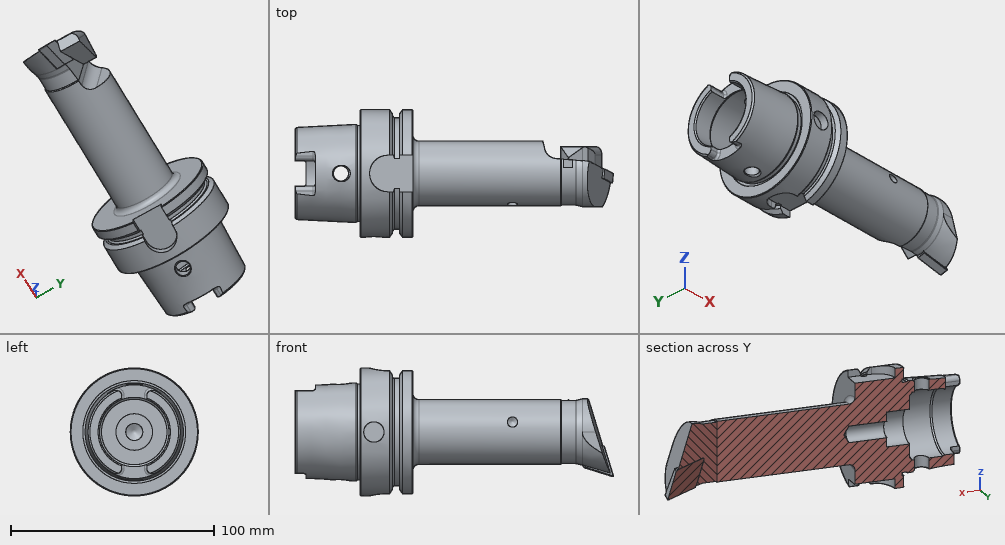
import cadquery as cq
import math


OVERALL_LENGTH = 156.69
TAPER_LENGTH = 32.0
TAPER_GAUGE_X = -6.3
TAPER_GAUGE_RADIUS = 24.0
TAPER_SLOPE = 0.05
TAPER_END_CHAMFER = 0.9
RELIEF_WIDTH = 2.1
RELIEF_FLOOR_WIDTH = 1.2
RELIEF_RADIUS = 23.7
FACE_GROOVE_RADIUS = 25.3
FACE_GROOVE_DEPTH = 0.8
FLANGE_RADIUS = 31.5
FLANGE_WIDTH = 26.0
EDGE_CHAMFER = 0.4

GROOVE_RADIUS = 27.5
GROOVE_START_X = 16.0
GROOVE_END_X = 19.3
GROOVE_WALL_RADIUS = 29.3
GROOVE_LEFT_BEVEL = 1.5
GROOVE_RIGHT_BEVEL = 1.65
GROOVE_FOOT_BEVEL = 0.9

KEYWAY_START_X = 4.7
KEYWAY_FLOOR = 26.5
TOP_KEYWAY_WIDTH = 18.0
BOTTOM_KEYWAY_WIDTH = 16.0

TOP_SLOT_DEPTH = 10.0
BOTTOM_SLOT_DEPTH = 5.4
SLOT_WIDTH = 12.5
SLOT_BASE_HEIGHT = 10.0
SLOT_SHOULDER_HEIGHT = 20.4
SLOT_SHOULDER_ROUND = 2.3
SLOT_SHOULDER_REACH = 14.0
SLOT_CUT_TOP = 26.0
SLOT_END_FILLET = 1.2

BORE_RADIUS = 17.1
BORE_CHAMFER = 0.7
BORE_MOUTH_LENGTH = 10.5
UNDERCUT_RADIUS = 17.6
UNDERCUT_ANGLE = math.radians(30)
BORE_FLOOR_X = -3.0
BORE_FLOOR_CHAMFER = 1.5
TUBE_BORE_RADIUS = 9.0
TUBE_BORE_DEPTH = 12.0
COOLANT_RADIUS = 4.2
COOLANT_DEPTH = 20.0
DRILL_TIP_ANGLE = math.radians(59)
CROSS_HOLE_X = -9.4
CROSS_HOLE_RADIUS = 3.7
CROSS_HOLE_RIM_RADIUS = 4.4
SINK_CLEARANCE = 0.4
CHIP_HOLE_X = 6.8
CHIP_HOLE_RADIUS = 5.0
CHIP_HOLE_DEPTH = 4.6
BAR_HOLE_X = 75.0
BAR_HOLE_Z = 4.9
BAR_HOLE_RADIUS = 2.5
BAR_HOLE_DEPTH = 5.0

BAR_RADIUS = 16.0
NECK_FILLET = 2.9
TIP_X = OVERALL_LENGTH - TAPER_LENGTH
TIP_Z = -22.0
HEAD_LENGTH = 26.0
HEAD_X = TIP_X - HEAD_LENGTH
COLLAR_RADIUS = 15.6
RIM_BEVEL_LENGTH = 0.5
COLLAR_LENGTH = 7.4
FLARE_RUN_IN = 0.5
FLARE_RUN_IN_RISE = 0.1
HEAD_RADIUS = 16.4
FLARE_LENGTH = 3.3
APPROACH_ANGLE = math.radians(17.5)
INSERT_OVERHANG = 0.7
END_FACE_RELIEF_DEGREES = 1.5

RAKE_FALL_X = 0.09
RAKE_RISE_Z = 0.137
CHIP_POCKET_X = 91.6
CHIP_POCKET_RADIUS = 6.0
CHIP_POCKET_LEAN = math.radians(15)

BLOCK_SPAN = 80.0
BLOCK_HEIGHT = 30.0

INSERT_ANGLE = math.radians(55)
INSERT_TURN_DEGREES = 45
INSERT_INSCRIBED_DIAMETER = 12.7
INSERT_THICKNESS = 4.76
NOSE_RADIUS = 0.4

CLAMP_TOP_Y = 13.2
CLAMP_ROUND = 4.0
CLAMP_HEEL = (HEAD_X, 7.9)
CLAMP_PEAK = (102.5, 15.9)
CLAMP_OUTLINE = [
    CLAMP_HEEL,
    CLAMP_PEAK,
    (109.4, 12.7),
    (112.2, 11.5),
    (115.6, 6.0),
    (119.0, -5.5),
    (115.0, -11.0),
    (HEAD_X, 5.0),
]
CLAMP_PEAK_Y = 7.8
CLAMP_BEVEL_RISE = 0.39

NOTCH_OFFSET = 1.3
NOTCH_LENGTH = 4.6
NOTCH_DEPTH = 2.0
NOTCH_FLOOR_Y = 3.0


def revolve_about_x(profile):
    return profile.close().revolve(360, (0, 0, 0), (1, 0, 0))


def taper_radius(x):
    return TAPER_GAUGE_RADIUS + TAPER_SLOPE * (x - TAPER_GAUGE_X)


def rake_plane():
    """Plane of the insert face, centred on the insert nose."""
    origin = (TIP_X - NOSE_RADIUS, 0, TIP_Z + NOSE_RADIUS)
    return cq.Plane(origin=origin, xDir=(1, -RAKE_FALL_X, 0), normal=(RAKE_FALL_X, 1, -RAKE_RISE_Z))


def above_rake_plane(start_x):
    """Block standing on the rake plane, with a round foot on its -X edge."""
    foot_x = start_x - TIP_X
    top_x = foot_x - BLOCK_HEIGHT * math.tan(CHIP_POCKET_LEAN)
    profile = [(foot_x, 0), (BLOCK_SPAN, 0), (BLOCK_SPAN, BLOCK_HEIGHT), (top_x, BLOCK_HEIGHT)]
    block = cq.Workplane("XZ").polyline(profile).close().extrude(BLOCK_SPAN / 2, both=True)
    block = block.faces("<Z").edges("<X").fillet(CHIP_POCKET_RADIUS)
    return cq.Workplane(obj=block.val().moved(cq.Location(rake_plane())))


def turned_blank():
    end_x = -TAPER_LENGTH
    groove_left = GROOVE_START_X - GROOVE_LEFT_BEVEL
    groove_right = GROOVE_END_X + GROOVE_RIGHT_BEVEL
    diagonal = NECK_FILLET * (1 - math.sqrt(0.5))
    profile = (
        cq.Workplane("XY")
        .moveTo(end_x, 0)
        .lineTo(end_x, taper_radius(end_x) - TAPER_END_CHAMFER)
        .lineTo(end_x + TAPER_END_CHAMFER, taper_radius(end_x))
        .lineTo(-RELIEF_WIDTH, taper_radius(-RELIEF_WIDTH))
        .lineTo(-RELIEF_FLOOR_WIDTH, RELIEF_RADIUS)
        .lineTo(FACE_GROOVE_DEPTH, RELIEF_RADIUS)
        .lineTo(FACE_GROOVE_DEPTH, FACE_GROOVE_RADIUS)
        .lineTo(0, FACE_GROOVE_RADIUS)
        .lineTo(0, FLANGE_RADIUS - EDGE_CHAMFER)
        .lineTo(EDGE_CHAMFER, FLANGE_RADIUS)
        .lineTo(groove_left, FLANGE_RADIUS)
        .lineTo(GROOVE_START_X, GROOVE_WALL_RADIUS)
        .lineTo(GROOVE_START_X, GROOVE_RADIUS + GROOVE_FOOT_BEVEL)
        .lineTo(GROOVE_START_X + GROOVE_FOOT_BEVEL, GROOVE_RADIUS)
        .lineTo(GROOVE_END_X, GROOVE_RADIUS)
        .lineTo(GROOVE_END_X, GROOVE_WALL_RADIUS)
        .lineTo(groove_right, FLANGE_RADIUS)
        .lineTo(FLANGE_WIDTH - EDGE_CHAMFER, FLANGE_RADIUS)
        .lineTo(FLANGE_WIDTH, FLANGE_RADIUS - EDGE_CHAMFER)
        .lineTo(FLANGE_WIDTH, BAR_RADIUS + NECK_FILLET)
        .threePointArc(
            (FLANGE_WIDTH + diagonal, BAR_RADIUS + diagonal),
            (FLANGE_WIDTH + NECK_FILLET, BAR_RADIUS),
        )
        .lineTo(HEAD_X, BAR_RADIUS)
        .lineTo(HEAD_X, 0)
    )
    return revolve_about_x(profile)


def stepped_bore():
    end_x = -TAPER_LENGTH
    undercut_x = end_x + BORE_MOUTH_LENGTH
    undercut_step = UNDERCUT_RADIUS - BORE_RADIUS
    tube_floor = BORE_FLOOR_X + TUBE_BORE_DEPTH
    coolant_floor = tube_floor + COOLANT_DEPTH
    profile = (
        cq.Workplane("XY")
        .moveTo(end_x, 0)
        .lineTo(end_x, BORE_RADIUS + BORE_CHAMFER)
        .lineTo(end_x + BORE_CHAMFER, BORE_RADIUS)
        .lineTo(undercut_x, BORE_RADIUS)
        .lineTo(undercut_x + undercut_step / math.tan(UNDERCUT_ANGLE), UNDERCUT_RADIUS)
        .lineTo(BORE_FLOOR_X - BORE_FLOOR_CHAMFER, UNDERCUT_RADIUS)
        .lineTo(BORE_FLOOR_X, UNDERCUT_RADIUS - BORE_FLOOR_CHAMFER)
        .lineTo(BORE_FLOOR_X, TUBE_BORE_RADIUS)
        .lineTo(tube_floor, TUBE_BORE_RADIUS)
        .lineTo(tube_floor, COOLANT_RADIUS)
        .lineTo(coolant_floor, COOLANT_RADIUS)
        .lineTo(coolant_floor + COOLANT_RADIUS / math.tan(DRILL_TIP_ANGLE), 0)
    )
    return revolve_about_x(profile)


def keyway(width, side):
    """Round-ended flat-floored keyway, open at the back of the flange; side is +1 up, -1 down."""
    radius = width / 2
    centre_x = KEYWAY_START_X + radius
    depth = FLANGE_RADIUS - KEYWAY_FLOOR
    floor = cq.Workplane("XY").workplane(offset=side * KEYWAY_FLOOR)
    round_end = floor.center(centre_x, 0).circle(radius).extrude(side * depth)
    run = FLANGE_WIDTH - centre_x
    straight = floor.center(centre_x + run / 2, 0).rect(run, width).extrude(side * depth)
    return round_end.union(straight)


def drive_slot(depth, side):
    """Slot across the taper wall; above it, rounded shoulders run flat out to the taper surface."""
    half = SLOT_WIDTH / 2
    shoulder = half + SLOT_SHOULDER_ROUND
    round_foot = SLOT_SHOULDER_HEIGHT - SLOT_SHOULDER_ROUND
    bulge = SLOT_SHOULDER_ROUND * (1 - math.sqrt(0.5))
    slot = (
        cq.Workplane("YZ", origin=(-TAPER_LENGTH, 0, 0))
        .moveTo(-half, SLOT_BASE_HEIGHT)
        .lineTo(half, SLOT_BASE_HEIGHT)
        .lineTo(half, round_foot)
        .threePointArc((half + bulge, SLOT_SHOULDER_HEIGHT - bulge), (shoulder, SLOT_SHOULDER_HEIGHT))
        .lineTo(SLOT_SHOULDER_REACH, SLOT_SHOULDER_HEIGHT)
        .lineTo(SLOT_SHOULDER_REACH, SLOT_CUT_TOP)
        .lineTo(-SLOT_SHOULDER_REACH, SLOT_CUT_TOP)
        .lineTo(-SLOT_SHOULDER_REACH, SLOT_SHOULDER_HEIGHT)
        .lineTo(-shoulder, SLOT_SHOULDER_HEIGHT)
        .threePointArc((-half - bulge, SLOT_SHOULDER_HEIGHT - bulge), (-half, round_foot))
        .close()
        .extrude(depth)
    )
    slot = slot.faces(">X").edges("not(<Z or >Z)").fillet(SLOT_END_FILLET)
    return slot if side > 0 else slot.mirror("XY")


def cross_hole():
    """Hole right through along Z, countersunk where it meets the taper."""
    rim_z = taper_radius(CROSS_HOLE_X)
    sink_z = rim_z - (CROSS_HOLE_RIM_RADIUS - CROSS_HOLE_RADIUS)
    sink_length = rim_z + SINK_CLEARANCE - sink_z
    cutter = cq.Workplane("XY").circle(CROSS_HOLE_RADIUS).extrude(FLANGE_RADIUS, both=True)
    for side in (1, -1):
        direction = cq.Vector(0, 0, side)
        sink = cq.Solid.makeCone(
            CROSS_HOLE_RADIUS, CROSS_HOLE_RADIUS + sink_length, sink_length, direction * sink_z, direction
        )
        cutter = cutter.union(cq.Workplane(obj=sink))
    return cutter.translate((CROSS_HOLE_X, 0, 0))


def bar_hole():
    """Blind drilled hole in the -Y side of the bar."""
    tip = BAR_HOLE_RADIUS / math.tan(DRILL_TIP_ANGLE)
    profile = (
        cq.Workplane("XY")
        .polyline([
            (0, -BAR_RADIUS),
            (BAR_HOLE_RADIUS, -BAR_RADIUS),
            (BAR_HOLE_RADIUS, BAR_HOLE_DEPTH - BAR_RADIUS),
            (0, BAR_HOLE_DEPTH + tip - BAR_RADIUS),
        ])
        .close()
    )
    return profile.revolve(360, (0, 0, 0), (0, 1, 0)).translate((BAR_HOLE_X, 0, BAR_HOLE_Z))


def make_holder():
    holder = turned_blank()
    holder = holder.cut(drive_slot(TOP_SLOT_DEPTH, 1)).cut(drive_slot(BOTTOM_SLOT_DEPTH, -1))
    holder = holder.cut(stepped_bore()).cut(cross_hole())
    holder = holder.cut(keyway(TOP_KEYWAY_WIDTH, 1)).cut(keyway(BOTTOM_KEYWAY_WIDTH, -1))
    chip_hole = cq.Workplane("XZ", origin=(CHIP_HOLE_X, CHIP_HOLE_DEPTH - FLANGE_RADIUS, 0))
    holder = holder.cut(chip_hole.circle(CHIP_HOLE_RADIUS).extrude(CHIP_HOLE_DEPTH))
    return holder.cut(bar_hole()).cut(above_rake_plane(CHIP_POCKET_X))


def make_insert():
    """Rhombic insert with rounded acute corners, its face lying in the rake plane."""
    half_long = INSERT_INSCRIBED_DIAMETER / 2 / math.sin(INSERT_ANGLE / 2)
    half_short = INSERT_INSCRIBED_DIAMETER / 2 / math.cos(INSERT_ANGLE / 2)
    nose_offset = half_long - NOSE_RADIUS / math.sin(INSERT_ANGLE / 2)
    corners = [(half_long, 0), (0, half_short), (-half_long, 0), (0, -half_short)]
    insert = cq.Workplane("XY").polyline(corners).close().extrude(-INSERT_THICKNESS)
    insert = insert.edges("|Z and (<X or >X)").fillet(NOSE_RADIUS)
    insert = insert.translate((-nose_offset, 0, 0)).rotate((0, 0, 0), (0, 0, 1), INSERT_TURN_DEGREES)
    return cq.Workplane(obj=insert.val().moved(cq.Location(rake_plane())))


def make_head(insert):
    flare_start = HEAD_X + COLLAR_LENGTH
    cone_start = flare_start + FLARE_LENGTH
    cone_end_radius = HEAD_RADIUS + (TIP_X - cone_start) * math.tan(APPROACH_ANGLE)
    profile = cq.Workplane("XY").polyline([
        (HEAD_X, 0),
        (HEAD_X, BAR_RADIUS),
        (HEAD_X + RIM_BEVEL_LENGTH, COLLAR_RADIUS),
        (flare_start, COLLAR_RADIUS),
        (flare_start + FLARE_RUN_IN, COLLAR_RADIUS + FLARE_RUN_IN_RISE),
        (cone_start, HEAD_RADIUS),
        (TIP_X, cone_end_radius),
        (TIP_X, 0),
    ])
    head = revolve_about_x(profile)

    envelope = (
        cq.Workplane("YZ", origin=(HEAD_X, 0, 0))
        .moveTo(-HEAD_RADIUS, 0)
        .threePointArc((0, HEAD_RADIUS), (HEAD_RADIUS, 0))
        .lineTo(HEAD_RADIUS, -cone_end_radius)
        .lineTo(-HEAD_RADIUS, -cone_end_radius)
        .close()
        .extrude(HEAD_LENGTH)
    )
    head = head.intersect(envelope)
    head = head.cut(beyond_end_face()).cut(above_rake_plane(CHIP_POCKET_X)).cut(insert)
    return head.cut(clamp_notch())


def beyond_end_face():
    """Block beyond the sloping end face, which falls back a little below the rake plane."""
    block = cq.Workplane("XY").box(BLOCK_SPAN, BLOCK_SPAN, BLOCK_SPAN, centered=(False, True, True))
    block = block.rotate((0, 0, 0), (0, 1, 0), END_FACE_RELIEF_DEGREES)
    block = block.translate((NOSE_RADIUS - INSERT_OVERHANG, 0, 0))
    block = block.rotate((0, 0, 0), (0, 0, 1), -math.degrees(APPROACH_ANGLE))
    return cq.Workplane(obj=block.val().moved(cq.Location(rake_plane())))


def clamp_notch():
    """Notch cut down into the collar beside the clamp."""
    start = (HEAD_X + NOTCH_OFFSET, NOTCH_FLOOR_Y, COLLAR_RADIUS - NOTCH_DEPTH)
    block = cq.Workplane("XY").box(NOTCH_LENGTH, COLLAR_RADIUS, COLLAR_RADIUS, centered=False)
    return block.translate(start)


def make_clamp():
    outline = cq.Workplane("XZ").polyline(CLAMP_OUTLINE).close()
    clamp = outline.extrude(-CLAMP_TOP_Y)
    clamp = clamp.faces(">X").edges(">Y").fillet(CLAMP_ROUND)
    clamp = clamp.intersect(above_rake_plane(CHIP_POCKET_X))
    return clamp.cut(beyond_clamp_bevel())


def beyond_clamp_bevel():
    """Block beyond the sloping bevel that joins the peak of the clamp to its outer face."""
    peak = cq.Vector(CLAMP_PEAK[0], CLAMP_PEAK_Y, CLAMP_PEAK[1])
    heel = cq.Vector(CLAMP_HEEL[0], CLAMP_TOP_Y, CLAMP_HEEL[1])
    along = cq.Vector(1, 0, CLAMP_BEVEL_RISE)
    bevel = cq.Plane(origin=peak, xDir=along, normal=along.cross(peak - heel) * -1)
    return cq.Workplane(bevel).rect(BLOCK_SPAN, BLOCK_SPAN).extrude(BLOCK_HEIGHT)


holder = make_holder()
insert = make_insert()
head = make_head(insert)
clamp = make_clamp()

result = cq.Compound.makeCompound([body.solids().val() for body in (holder, head, insert, clamp)])